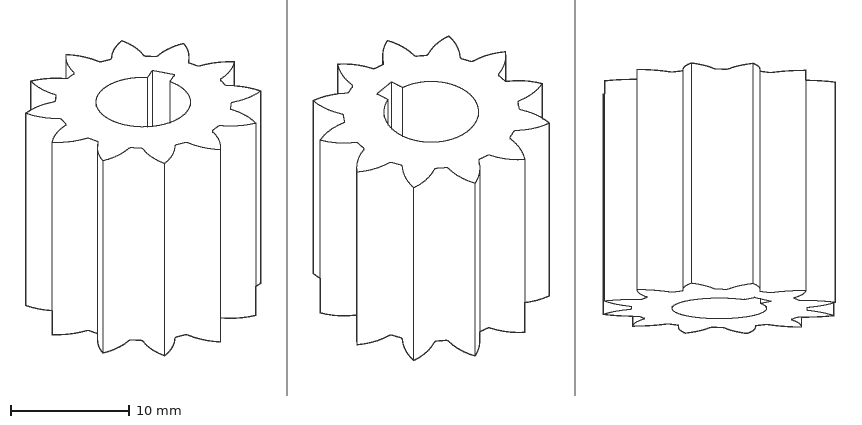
import cadquery as cq
import math

tooth_count = 12
tip_radius = 10.1
root_radius = 7.43
root_half_angle = 10.9
flank_bulge = 0.25
root_fillet = 0.25
gear_length = 19.05
bore_radius = 4.0
keyway_width = 2.0
keyway_top = 5.07

tooth_pitch = 360.0 / tooth_count


def polar(radius, angle):
    """Point at an angle in degrees measured anticlockwise from +X."""
    turn = math.radians(angle)
    return (radius * math.cos(turn), radius * math.sin(turn))


def flank_middle(foot, tip):
    """Middle point of a flank arc, bulging outward from the foot-to-tip chord."""
    chord_x = tip[0] - foot[0]
    chord_y = tip[1] - foot[1]
    chord = math.hypot(chord_x, chord_y)
    side = math.copysign(flank_bulge, foot[0] * tip[1] - foot[1] * tip[0])
    middle_x = (foot[0] + tip[0]) / 2 + side * chord_y / chord
    middle_y = (foot[1] + tip[1]) / 2 - side * chord_x / chord
    return (middle_x, middle_y)


def make_toothed_body():
    """Straight spur gear with pointed teeth and arcs between their filleted feet."""
    outline = cq.Workplane("XY").moveTo(*polar(root_radius, -root_half_angle))
    for tooth in range(tooth_count):
        centre = tooth * tooth_pitch
        right_foot = polar(root_radius, centre - root_half_angle)
        tip = polar(tip_radius, centre)
        left_foot = polar(root_radius, centre + root_half_angle)
        valley = polar(root_radius, centre + tooth_pitch / 2)
        next_foot = polar(root_radius, centre + tooth_pitch - root_half_angle)
        outline = outline.threePointArc(flank_middle(right_foot, tip), tip)
        outline = outline.threePointArc(flank_middle(left_foot, tip), left_foot)
        outline = outline.threePointArc(valley, next_foot)
    body = outline.close().extrude(gear_length)
    for tooth in range(tooth_count):
        for side in (-1, 1):
            foot = polar(root_radius, tooth * tooth_pitch + side * root_half_angle)
            foot_edge = cq.selectors.NearestToPointSelector((*foot, gear_length / 2))
            body = body.edges("|Z").edges(foot_edge).fillet(root_fillet)
    return body


def make_keyed_bore():
    """Through bore with a rectangular keyway on its +Y side."""
    bore = cq.Workplane("XY").circle(bore_radius).extrude(gear_length)
    keyway = (
        cq.Workplane("XY")
        .center(0, keyway_top / 2)
        .rect(keyway_width, keyway_top)
        .extrude(gear_length)
    )
    return bore.union(keyway)


result = make_toothed_body().cut(make_keyed_bore())